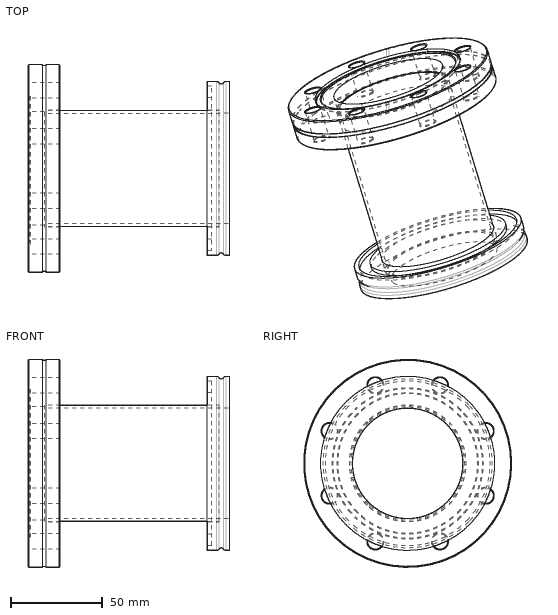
import cadquery as cq
import math

total_length = 110.0

tube_outer_d = 63.5
tube_inner_d = 60.2
socket_d = 63.8

flange_d = 113.5
flange_thickness = 17.5
flange_bore_d = 62.0
flange_chamfer = 0.6
tube_seat_depth = 9.1

recess_d = 82.5
knife_d = 77.2
knife_tip_depth = 0.7
recess_floor_width = 0.5
knife_inner_inset = 0.5
knife_slope = 20.0
inner_face_depth = 1.2

rim_groove_start = 7.8
rim_groove_width = 2.0
rim_groove_depth = 0.5

bolt_count = 8
bolt_circle_d = 92.2
bolt_hole_d = 8.4
bolt_hole_chamfer = 0.5

leak_slot_width = 1.4
leak_slot_depth = 0.1

clamp_d = 95.0
clamp_thickness = 12.3
clamp_bore_d = 60.3
clamp_seat_thickness = 5.7
clamp_groove_center = 7.7
clamp_groove_half_width = 2.5
clamp_groove_bottom_half_width = 1.1
clamp_groove_depth = 1.4
back_groove_outer_d = 89.9
back_groove_inner_d = 77.2
back_groove_depth = 2.3

clamp_start = total_length - clamp_thickness
tube_end = total_length - clamp_seat_thickness


def cylinder(diameter, start, end):
    """Solid cylinder about the X axis."""
    return cq.Workplane("YZ").workplane(offset=start).circle(diameter / 2).extrude(end - start)


def ring(outer_d, inner_d, start, end):
    """Annular solid about the X axis."""
    section = cq.Workplane("YZ").workplane(offset=start).circle(outer_d / 2).circle(inner_d / 2)
    return section.extrude(end - start)


def revolve_about_x(profile):
    """Revolve a closed (x, radius) profile about the X axis."""
    return profile.close().revolve(360, (0, 0, 0), (1, 0, 0))


def make_tube():
    return ring(tube_outer_d, tube_inner_d, tube_seat_depth, tube_end)


def sealing_recess():
    """Recess whose floor rises from near its wall to the knife edge, then drops to the inner face."""
    slope_start_radius = recess_d / 2 - recess_floor_width
    knife_radius = knife_d / 2
    knife_rise = (slope_start_radius - knife_radius) * math.tan(math.radians(knife_slope))
    floor_depth = knife_tip_depth + knife_rise
    return revolve_about_x(
        cq.Workplane("XY")
        .moveTo(0, 0)
        .lineTo(0, recess_d / 2)
        .lineTo(floor_depth, recess_d / 2)
        .lineTo(floor_depth, slope_start_radius)
        .lineTo(knife_tip_depth, knife_radius)
        .lineTo(inner_face_depth, knife_radius - knife_inner_inset)
        .lineTo(inner_face_depth, 0)
    )


def bolt_holes():
    """Through holes with a chamfer at both ends, straddling the Y and Z axes."""
    radius = bolt_hole_d / 2
    wide_radius = radius + bolt_hole_chamfer
    hole = revolve_about_x(
        cq.Workplane("XY")
        .moveTo(0, 0)
        .lineTo(0, wide_radius)
        .lineTo(bolt_hole_chamfer, radius)
        .lineTo(flange_thickness - bolt_hole_chamfer, radius)
        .lineTo(flange_thickness, wide_radius)
        .lineTo(flange_thickness, 0)
    ).translate((0, 0, bolt_circle_d / 2))
    pitch = 360 / bolt_count
    return [hole.rotate((0, 0, 0), (1, 0, 0), (i + 0.5) * pitch) for i in range(bolt_count)]


def leak_slots():
    """Shallow slot of rounded section along Z, crossing the sealing side above and below the recess."""
    half_width = leak_slot_width / 2
    slot = (
        cq.Workplane("XY")
        .moveTo(0, -half_width)
        .threePointArc((leak_slot_depth, 0), (0, half_width))
        .close()
        .extrude(flange_d / 2, both=True)
    )
    return slot.cut(cylinder(recess_d, 0, leak_slot_depth))


def make_knife_flange():
    flange = cylinder(flange_d, 0, flange_thickness).edges().chamfer(flange_chamfer)
    flange = flange.cut(cylinder(flange_bore_d, 0, flange_thickness))
    flange = flange.cut(cylinder(socket_d, tube_seat_depth, flange_thickness))
    flange = flange.cut(sealing_recess())
    rim_groove_floor_d = flange_d - 2 * rim_groove_depth
    rim_groove_end = rim_groove_start + rim_groove_width
    flange = flange.cut(ring(flange_d, rim_groove_floor_d, rim_groove_start, rim_groove_end))
    for hole in bolt_holes():
        flange = flange.cut(hole)
    return flange.cut(leak_slots())


def clamp_groove():
    """Rim groove with rounded shoulders flowing tangentially into a rounded bottom."""
    rim = clamp_d / 2
    center = clamp_start + clamp_groove_center
    turn = 2 * math.atan(clamp_groove_depth / clamp_groove_half_width)
    bottom_radius = clamp_groove_bottom_half_width / math.sin(turn)
    shoulder_width = clamp_groove_half_width - clamp_groove_bottom_half_width
    shoulder_radius = shoulder_width / math.sin(turn)
    shoulder_drop = shoulder_radius * (1 - math.cos(turn))
    mid_inset = shoulder_radius * math.sin(turn / 2)
    mid_drop = shoulder_radius * (1 - math.cos(turn / 2))
    bottom_edge_radius = rim - shoulder_drop
    bottom_mid_radius = bottom_edge_radius - bottom_radius * (1 - math.cos(turn))
    left = center - clamp_groove_half_width
    right = center + clamp_groove_half_width
    return revolve_about_x(
        cq.Workplane("XY")
        .moveTo(left, rim)
        .threePointArc(
            (left + mid_inset, rim - mid_drop),
            (left + shoulder_width, bottom_edge_radius),
        )
        .threePointArc((center, bottom_mid_radius), (right - shoulder_width, bottom_edge_radius))
        .threePointArc((right - mid_inset, rim - mid_drop), (right, rim))
    )


def make_clamp_flange():
    flange = ring(clamp_d, clamp_bore_d, clamp_start, total_length)
    flange = flange.cut(cylinder(socket_d, clamp_start, tube_end))
    back_groove_floor = clamp_start + back_groove_depth
    flange = flange.cut(ring(back_groove_outer_d, back_groove_inner_d, clamp_start, back_groove_floor))
    return flange.cut(clamp_groove())


tube = make_tube()
knife_flange = make_knife_flange()
clamp_flange = make_clamp_flange()

result = cq.Compound.makeCompound([tube.val(), knife_flange.val(), clamp_flange.val()])